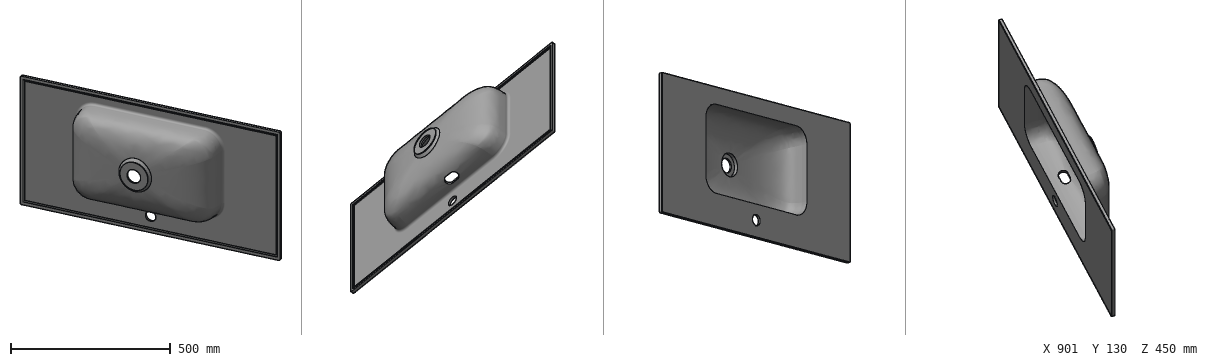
import cadquery as cq
import math

length = 901.0
height = 450.0
total_depth = 130.0
slab_thickness = 12.0
corner_radius = 5.0
back_chamfer = 2.0

rim_side = 9.0
rim_end = 11.0
ledge_width = 5.0
step_depth = 2.0
panel_y = -slab_thickness + 2 * step_depth

bowl_z = 25.0
bowl_length = 501.0
bowl_height = 304.5
bowl_corner_radius = 60.0
bowl_bottom_y = -120.0
lip_height = 12.0
lip_fillet = 9.0
wall = 9.0
profile_power = 3
section_angles = (0, 20, 33, 45, 57, 68, 78, 85)

drain_radius = 23.0
boss_radius = 49.0
boss_base_radius = 61.0
boss_rim_height = 3.0
seat_radius = 38.0
seat_floor = 6.0
tap_radius = 18.0
tap_z = -169.0
overflow_x = 38.0
overflow_y = -49.0
overflow_length = 52.0
overflow_height = 31.0
overflow_reach = 45.0


def plane_at(y, z=0.0):
    """Workplane facing -Y, so extruding moves away from the slab."""
    return cq.Workplane("XZ", origin=(0, y, z))


def rounded_block(y, z, size_x, size_z, radius, depth):
    return plane_at(y, z).rect(size_x, size_z).extrude(depth).edges("|Y").fillet(radius)


def belly(inset):
    """Smooth bowl body whose rounded sections shrink along a superellipse."""
    top_y = panel_y - lip_height
    depth = top_y - bowl_bottom_y - inset
    sections = []
    for angle in section_angles:
        drop = depth * math.sin(math.radians(angle)) ** (2 / profile_power)
        scale = math.cos(math.radians(angle)) ** (2 / profile_power)
        section = (
            cq.Sketch()
            .rect(scale * (bowl_length - 2 * inset), scale * (bowl_height - 2 * inset))
            .vertices()
            .fillet(scale * (bowl_corner_radius - inset))
        )
        sections.append(section.moved(cq.Location(cq.Vector(0, 0, drop))))
    return plane_at(top_y, bowl_z).placeSketch(*sections).loft()


def make_slab():
    slab = rounded_block(0, 0, length, height, corner_radius, slab_thickness)
    slab = slab.faces(">Y").edges().chamfer(back_chamfer)
    for step in (1, 2):
        margin = (step - 1) * ledge_width
        pocket_length = length - 2 * (rim_side + margin)
        pocket_height = height - 2 * (rim_end + margin)
        depth = step * step_depth
        pocket = plane_at(depth - slab_thickness).rect(pocket_length, pocket_height).extrude(depth)
        slab = slab.cut(pocket)
    return slab


def add_bowl(slab):
    lip = rounded_block(0, bowl_z, bowl_length, bowl_height, bowl_corner_radius, lip_height - panel_y)
    body = slab.union(lip)
    near = lip_fillet / 4
    root = cq.selectors.BoxSelector(
        (-bowl_length / 2 - near, panel_y - near / 2, bowl_z - bowl_height / 2 - near),
        (bowl_length / 2 + near, panel_y + near / 2, bowl_z + bowl_height / 2 + near),
    )
    return body.edges(root).fillet(lip_fillet).union(belly(0))


def make_boss():
    """Drain collar flaring toward the bowl, rooted inside the bowl floor."""
    base_y = bowl_bottom_y + wall / 2
    flare_height = total_depth + base_y - boss_rim_height
    flare = plane_at(base_y, bowl_z).circle(boss_base_radius)
    flare = flare.workplane(offset=flare_height).circle(boss_radius).loft()
    return flare.faces("<Y").workplane().circle(boss_radius).extrude(boss_rim_height)


def make_cavity():
    """Hollow of the bowl, open through the slab, with a recessed drain seat."""
    seat = plane_at(0, bowl_z).circle(seat_radius).extrude(total_depth - seat_floor)
    opening = rounded_block(
        0, bowl_z, bowl_length - 2 * wall, bowl_height - 2 * wall,
        bowl_corner_radius - wall, lip_height - panel_y,
    )
    return opening.union(belly(wall)).union(seat)


def make_overflow():
    """Slot through the lower bowl wall."""
    start_z = bowl_z - bowl_height / 2 - wall
    slot = cq.Workplane("XY", origin=(overflow_x, overflow_y, start_z))
    return slot.slot2D(overflow_length, overflow_height).extrude(overflow_reach)


drain = plane_at(0, bowl_z).circle(drain_radius).extrude(total_depth)
tap_hole = plane_at(0, tap_z).circle(tap_radius).extrude(slab_thickness)

result = add_bowl(make_slab()).union(make_boss())
result = result.cut(make_cavity()).cut(make_overflow()).cut(drain).cut(tap_hole)